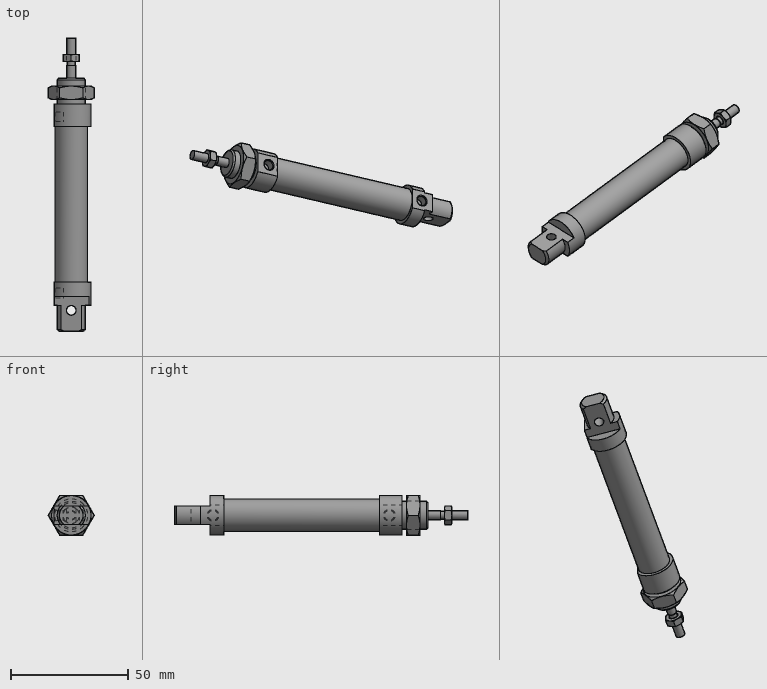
import cadquery as cq
import math


rod_tip_y = 125.0
rod_nut_y = 115.0
relief_start_y = 113.2
neck_end_y = 108.0
mount_nut_y = 98.8
front_head_end_y = 97.0
front_head_start_y = 87.2
rear_head_end_y = 21.0
slab_end_y = 15.0
rear_head_start_y = 11.1

barrel_diameter = 14.0
head_diameter = 17.0
neck_diameter = 12.0
neck_tip_diameter = 10.8
neck_chamfer_length = 0.8
port_flat_width = 8.8
port_flat_x = math.sqrt((head_diameter / 2) ** 2 - (port_flat_width / 2) ** 2)

tongue_diameter = neck_diameter
tongue_end_diameter = 10.0
tongue_chamfer_length = 0.9
tongue_thickness = 8.0
pivot_hole_diameter = 4.0
pivot_hole_y = 9.0

port_diameter = 4.2
port_mouth_diameter = 5.0
port_chamfer = (port_mouth_diameter - port_diameter) / 2
port_depth = 4.0
front_port_y = 91.5
rear_port_y = 16.4

rod_diameter = 4.0
relief_diameter = 3.5

mount_nut_flats = head_diameter
mount_nut_length = 5.9
mount_nut_face_diameter = 16.8
rod_nut_flats = 7.0
rod_nut_length = 3.1
rod_nut_face_diameter = 7.0
nut_chamfer_angle = math.radians(30)


def revolve_about_y(points):
    """Revolve a closed (radius, y) outline about the Y axis."""
    return cq.Workplane("XY").polyline(points).close().revolve(360, (0, 0, 0), (0, 1, 0))


def cylinder_y(diameter, start_y, end_y):
    """Cylinder on the Y axis between two stations."""
    return revolve_about_y([(0, start_y), (diameter / 2, start_y), (diameter / 2, end_y), (0, end_y)])


def box_between(x_range, y_range, z_range):
    """Axis-aligned box given its limits along each axis."""
    sizes = [high - low for low, high in (x_range, y_range, z_range)]
    return cq.Workplane("XY").box(*sizes, centered=False).translate((x_range[0], y_range[0], z_range[0]))


def make_port(y):
    """Cutter for a blind port with a chamfered mouth, entering the -X flat."""
    outline = [
        (-port_flat_x, 0),
        (-port_flat_x, port_mouth_diameter / 2),
        (-port_flat_x + port_chamfer, port_diameter / 2),
        (-port_flat_x + port_depth, port_diameter / 2),
        (-port_flat_x + port_depth, 0),
    ]
    port = cq.Workplane("XY").polyline(outline).close().revolve(360, (0, 0, 0), (1, 0, 0))
    return port.translate((0, y, 0))


def make_housing():
    """Barrel, both heads, threaded neck and rear tongue as one solid."""
    head_radius = head_diameter / 2
    barrel_radius = barrel_diameter / 2
    neck_radius = neck_diameter / 2
    tongue_radius = tongue_diameter / 2
    housing = revolve_about_y([
        (0, 0),
        (tongue_end_diameter / 2, 0),
        (tongue_radius, tongue_chamfer_length),
        (tongue_radius, rear_head_start_y),
        (head_radius, rear_head_start_y),
        (head_radius, rear_head_end_y),
        (barrel_radius, rear_head_end_y),
        (barrel_radius, front_head_start_y),
        (head_radius, front_head_start_y),
        (head_radius, front_head_end_y),
        (neck_radius, front_head_end_y),
        (neck_radius, neck_end_y - neck_chamfer_length),
        (neck_tip_diameter / 2, neck_end_y),
        (0, neck_end_y),
    ])

    housing = housing.cut(box_between(
        (-head_diameter, -port_flat_x), (0, front_head_end_y), (-head_diameter, head_diameter)))

    for low_z, high_z in ((tongue_thickness / 2, head_diameter), (-head_diameter, -tongue_thickness / 2)):
        housing = housing.cut(box_between((-head_diameter, head_diameter), (0, slab_end_y), (low_z, high_z)))

    pivot_hole = cq.Workplane("XY").circle(pivot_hole_diameter / 2).extrude(tongue_thickness, both=True)
    housing = housing.cut(pivot_hole.translate((0, pivot_hole_y, 0)))

    for port_y in (front_port_y, rear_port_y):
        housing = housing.cut(make_port(port_y))
    return housing


def make_rod():
    """Piston rod with a relief groove behind the nut, seated on the neck end."""
    rod = cylinder_y(rod_diameter, neck_end_y, relief_start_y)
    rod = rod.union(cylinder_y(relief_diameter, relief_start_y, rod_nut_y))
    return rod.union(cylinder_y(rod_diameter, rod_nut_y, rod_tip_y))


def make_hex_nut(flats, bore, length, face_diameter, start_y, first_corner_angle):
    """Hex nut on the Y axis, corners turned down to a cone at both ends."""
    corner_radius = flats / math.sqrt(3)
    corners = []
    for index in range(6):
        angle = math.radians(first_corner_angle + 60 * index)
        corners.append((corner_radius * math.cos(angle), corner_radius * math.sin(angle)))
    end_y = start_y + length
    prism = cq.Workplane("XZ", origin=(0, end_y, 0)).polyline(corners).close().extrude(length)

    face_radius = face_diameter / 2
    chamfer_length = (corner_radius - face_radius) * math.tan(nut_chamfer_angle)
    turned_blank = revolve_about_y([
        (0, start_y),
        (face_radius, start_y),
        (corner_radius, start_y + chamfer_length),
        (corner_radius, end_y - chamfer_length),
        (face_radius, end_y),
        (0, end_y),
    ])
    return prism.intersect(turned_blank).cut(cylinder_y(bore, start_y, end_y))


housing = make_housing()
rod = make_rod()
mount_nut = make_hex_nut(
    mount_nut_flats, neck_diameter, mount_nut_length, mount_nut_face_diameter, mount_nut_y, 0)
rod_nut = make_hex_nut(
    rod_nut_flats, rod_diameter, rod_nut_length, rod_nut_face_diameter, rod_nut_y, 30)

result = cq.Compound.makeCompound([housing.val(), rod.val(), mount_nut.val(), rod_nut.val()])